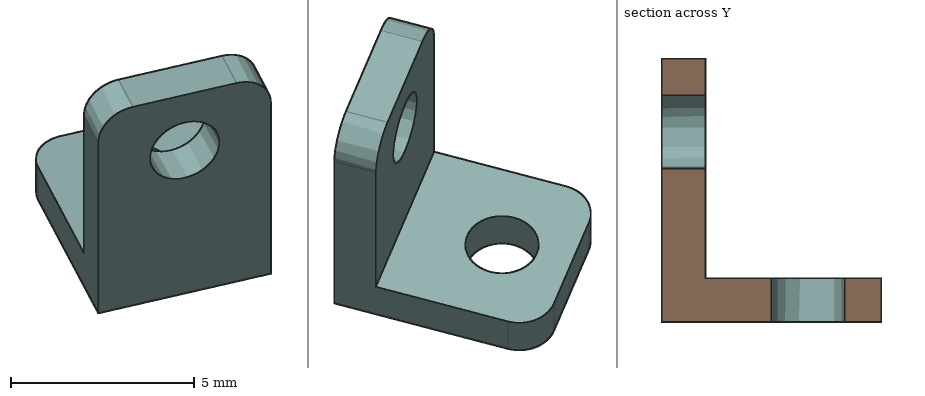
import cadquery as cq

height = 7.2
length = 6.0
width = 5.0
thickness = 1.2
corner_radius = 1.0
hole_diameter = 2 * corner_radius
hole_edge_distance = 2 * corner_radius


def leg(leg_length):
    """Flat leg running along +X from its rounded, drilled free end at X = 0."""
    plate = cq.Workplane("XY").box(leg_length, width, thickness, centered=(False, True, False))
    plate = plate.edges("|Z and <X").fillet(corner_radius)
    hole = (
        cq.Workplane("XY")
        .center(hole_edge_distance, 0)
        .circle(hole_diameter / 2)
        .extrude(thickness)
    )
    return plate.cut(hole)


base = leg(length)
upright = (
    leg(height)
    .rotate((0, 0, 0), (0, 1, 0), 90)
    .translate((length - thickness, 0, height))
)

result = base.union(upright)